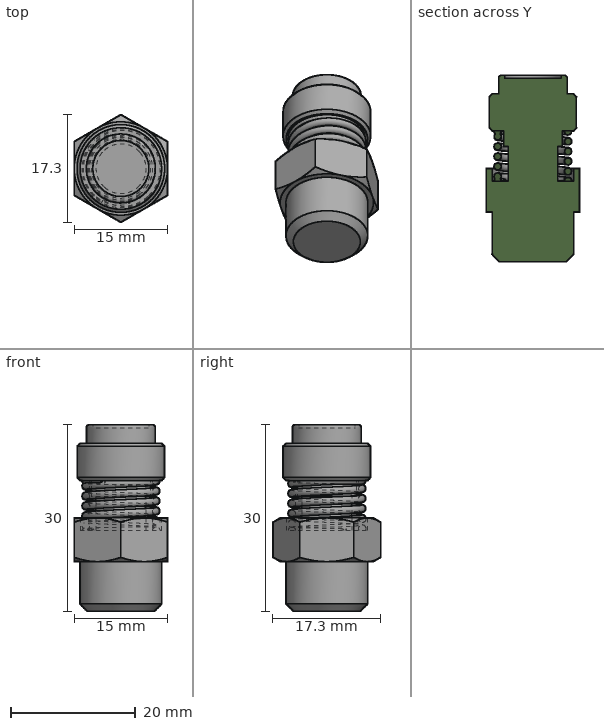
import cadquery as cq
import math

tail_length = 8.0
hex_height = 7.0
spring_gap = 6.0
collar_height = 6.0
head_height = 3.0
hex_top = tail_length + hex_height
collar_bottom = hex_top + spring_gap
collar_top = collar_bottom + collar_height
head_top = collar_top + head_height

tail_radius = 6.58
tail_chamfer = 1.2

hex_sides = 6
hex_across_flats = 15.0
hex_half_angle = 180.0 / hex_sides
hex_chamfer_angle = 30.0

collar_radius = 7.05
collar_chamfer = 0.5
head_radius = 5.55
head_round = 0.5
head_recess_radius = 4.5
head_recess_depth = 0.5

stem_radius = 4.0
shoulder_radius = 4.75
shoulder_length = 2.5

seat_radius = 6.5
seat_depth = 2.0
seat_floor = hex_top - seat_depth

wire_diameter = 1.2
spring_outer_radius = 6.25
spring_pitch = 1.6
end_coil_sweep = 225.0
spring_end_angle = 240.0
coil_radius = spring_outer_radius - wire_diameter / 2
spring_length = collar_bottom - seat_floor
helix_sweep = 360.0 * spring_length / spring_pitch
helix_top_angle = spring_end_angle - end_coil_sweep
helix_bottom_angle = helix_top_angle - helix_sweep


def cylinder(radius, bottom, top):
    return cq.Workplane("XY").workplane(offset=bottom).circle(radius).extrude(top - bottom)


def make_hexagon():
    """Hexagon whose corners are cut back by a cone at both ends."""
    flat_radius = hex_across_flats / 2
    corner_radius = flat_radius / math.cos(math.radians(hex_half_angle))
    prism = (
        cq.Workplane("XY", origin=(0, 0, tail_length))
        .polygon(hex_sides, 2 * corner_radius)
        .extrude(hex_height)
        .rotate((0, 0, 0), (0, 0, 1), hex_half_angle)
    )
    cone_radius = 2 * corner_radius - flat_radius
    cone_drop = (cone_radius - flat_radius) * math.tan(math.radians(hex_chamfer_angle))
    envelope = (
        cq.Workplane("XZ")
        .moveTo(0, tail_length)
        .lineTo(flat_radius, tail_length)
        .lineTo(cone_radius, tail_length + cone_drop)
        .lineTo(cone_radius, hex_top - cone_drop)
        .lineTo(flat_radius, hex_top)
        .lineTo(0, hex_top)
        .close()
        .revolve(360, (0, 0, 0), (0, 1, 0))
    )
    return prism.intersect(envelope)


def make_fitting():
    """Tail, hexagon, stem, collar and head as one solid."""
    tail = cylinder(tail_radius, 0, tail_length).faces("<Z").chamfer(tail_chamfer)
    seat = cylinder(seat_radius, seat_floor, hex_top)
    stem = cylinder(stem_radius, seat_floor, collar_bottom)
    shoulder = cylinder(shoulder_radius, collar_bottom - shoulder_length, collar_bottom)
    collar = cylinder(collar_radius, collar_bottom, collar_top).edges().chamfer(collar_chamfer)
    head = cylinder(head_radius, collar_top, head_top).faces(">Z").edges().fillet(head_round)
    head_recess = cylinder(head_recess_radius, head_top - head_recess_depth, head_top)
    return (
        make_hexagon()
        .cut(seat)
        .union(tail)
        .union(stem)
        .union(shoulder)
        .union(collar)
        .union(head)
        .cut(head_recess)
    )


def make_end_coil(height, start_angle):
    """Flat part-turn of wire centred at the given height."""
    return (
        cq.Workplane("XZ", origin=(0, 0, height))
        .moveTo(coil_radius, 0)
        .circle(wire_diameter / 2)
        .revolve(end_coil_sweep, (0, 0, 0), (0, 1, 0))
        .rotate((0, 0, 0), (0, 0, 1), start_angle)
    )


def make_spring():
    """Helix closed by a flat coil at each end, both ground to half the wire."""
    path = cq.Wire.makeHelix(spring_pitch, spring_length, coil_radius)
    helix = (
        cq.Workplane("XZ")
        .moveTo(coil_radius, 0)
        .circle(wire_diameter / 2)
        .sweep(path, isFrenet=True)
        .rotate((0, 0, 0), (0, 0, 1), helix_bottom_angle)
        .translate((0, 0, seat_floor))
    )
    bottom_coil = make_end_coil(seat_floor, helix_bottom_angle - end_coil_sweep)
    top_coil = make_end_coil(collar_bottom, helix_top_angle)
    ground_length = cylinder(seat_radius, seat_floor, collar_bottom)
    return helix.union(bottom_coil).union(top_coil).intersect(ground_length)


fitting = make_fitting()
spring = make_spring()

result = cq.Compound.makeCompound([fitting.solids().val(), spring.solids().val()])